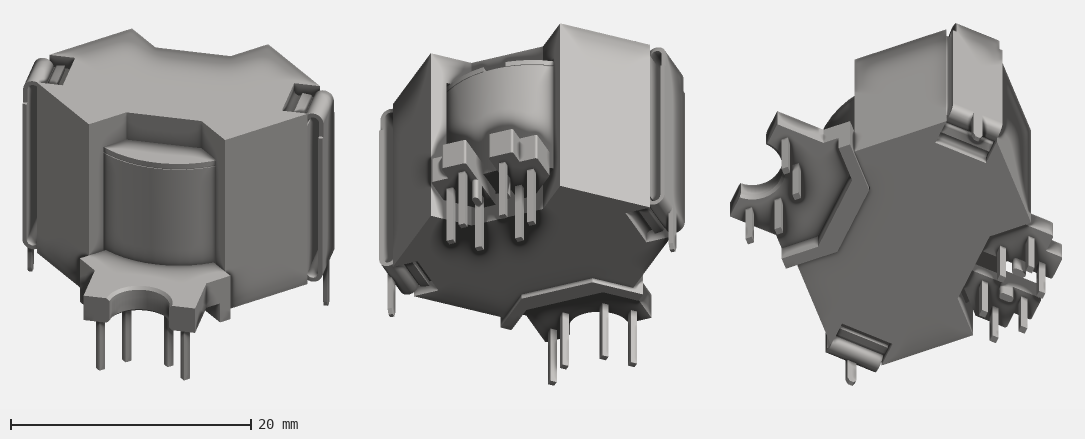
import cadquery as cq
import math

CLIP_DIRECTIONS = (45, 225)
REAR_DIRECTION = 135
FRONT_DIRECTION = 315

core_width = 19.65
core_height = 16.45
corner_reach = 11.56
corner_width = 4.62
notch_side = 1.6
notch_depth = 6.14
plate_thickness = 2.63
cavity_radius = 8.55

recess_reach = 9.35
recess_depth = 1.13
recess_fillet = 0.45

clip_thickness = 0.37
clip_reach = 12.82
hook_radius = 0.85
bend_reach = clip_reach - hook_radius
upper_bend_height = 15.45
lower_bend_height = 1.1
lip_reach = 10.15
lip_radius = 0.27
lip_rise = 0.07
valley_reach = 11.0
valley_thickness = 0.15
clip_width = 4.52
tab_width = 3.93
tab_bottom = 14.17
leg_width = 0.8
leg_tip_width = 0.4
leg_taper_top = -2.68
leg_bottom = -3.17

drum_radius = 8.35
drum_bottom = 2.82
drum_top = 13.65
flange_thickness = 0.45
groove_height = 0.12
groove_depth = 0.07
slot_width = 2.01
slot_reach = 5.45
slot_corner_radius = 0.6

block_bottom = 1.47
block_top = 3.83
block_thickness = block_top - block_bottom
foot_bottom = -0.37
arm_half_width = 4.76
notch_clearance = 0.07
block_side = notch_side + notch_clearance
block_depth = notch_depth + notch_clearance / 2
front_block_edge = 10.75
front_block_reach = 14.68
foot_wall_thickness = 1.0
foot_wall_corner = 7.54
bite_radius = 2.55
bite_reach = 14.8
bite_chamfer = 0.25

rear_shoulder_reach = 10.63
rear_stub_half_width = 3.22
rear_reach = 12.18
rear_fillet = 0.2
rear_side = 2.15
rear_inner_reach = (block_side + block_depth) / math.sqrt(2)

foot_length = 1.23
foot_width = 0.6
foot_reach = 9.03
foot_offset = 1.28

pin_size = 0.56
pin_bottom = -3.8
pin_embed = 0.25
rear_pins = ((-8.9, 6.35), (-8.9, 3.8), (-6.35, 3.8), (-3.8, 6.35), (-3.8, 8.9), (-6.35, 8.9))
front_pins = ((6.9, -9.43), (6.9, -12.0), (9.43, -6.9), (12.0, -6.9))


def turned(shape, direction):
    """Turn a shape built along +X so that it points along a diagonal."""
    return shape.rotate((0, 0, 0), (0, 0, 1), direction)


def upright_box(x_range, y_range, z_range):
    size = [high - low for low, high in (x_range, y_range, z_range)]
    corner = (x_range[0], y_range[0], z_range[0])
    return cq.Workplane("XY").box(*size, centered=False).translate(corner)


def prism(points, bottom, height):
    return cq.Workplane("XY").workplane(offset=bottom).polyline(points).close().extrude(height)


def core_block():
    """Octagon-like core with two notched corners and a round cavity for the drum."""
    half = core_width / 2
    corner = corner_reach * math.sqrt(2) - half
    outline = [
        (-half, -corner), (-corner, -half),
        (notch_side, -half), (notch_side, -notch_depth), (notch_depth, -notch_side), (half, -notch_side),
        (half, corner), (corner, half),
        (-notch_side, half), (-notch_side, notch_depth), (-notch_depth, notch_side), (-half, notch_side),
    ]
    cavity = (
        cq.Workplane("XY").workplane(offset=plate_thickness)
        .circle(cavity_radius).extrude(core_height - 2 * plate_thickness)
    )
    return prism(outline, 0, core_height).cut(cavity)


def clip_recess():
    """Upper recess pointing along +X, with a rounded inner corner."""
    floor = core_height - recess_depth
    return (
        upright_box((recess_reach, clip_reach), (-corner_width / 2, corner_width / 2),
                    (floor, core_height))
        .edges("|Y and <X and <Z").fillet(recess_fillet)
    )


def mirrored_down(shape):
    """Mirror a shape about the mid-height of the core."""
    return shape.mirror("XY", (0, 0, core_height / 2))


def clip_hook(width, bend_height):
    """Upper hook pointing along +X: half-round bend, a narrow valley and a lip on the recess floor."""
    floor = core_height - recess_depth
    valley = floor + valley_thickness
    lip_end = valley_reach - lip_radius
    inner_radius = hook_radius - clip_thickness
    valley_junction = bend_reach - math.sqrt(hook_radius**2 - (valley - bend_height) ** 2)
    rounding = lip_radius / math.sqrt(2)
    return (
        cq.Workplane("XZ")
        .moveTo(lip_reach, floor)
        .lineTo(bend_reach - inner_radius, floor)
        .lineTo(bend_reach - inner_radius, bend_height)
        .threePointArc((bend_reach, bend_height + inner_radius), (bend_reach + inner_radius, bend_height))
        .lineTo(clip_reach, bend_height)
        .threePointArc((bend_reach, bend_height + hook_radius), (valley_junction, valley))
        .lineTo(valley_reach, valley)
        .threePointArc((lip_end + rounding, valley + rounding), (lip_end, valley + lip_radius))
        .lineTo(lip_reach, valley + lip_radius + lip_rise)
        .close()
        .extrude(width / 2, both=True)
    )


def clip_leg():
    """Solder leg pointing along +X, continuing the clip plate downwards to a tapered tip."""
    half = leg_width / 2
    tip = leg_tip_width / 2
    outline = [
        (-half, lower_bend_height), (-half, leg_taper_top), (-tip, leg_bottom),
        (tip, leg_bottom), (half, leg_taper_top), (half, lower_bend_height),
    ]
    return (
        cq.Workplane("YZ").workplane(offset=clip_reach - clip_thickness)
        .polyline(outline).close().extrude(clip_thickness)
    )


def clip():
    """Whole spring clip pointing along +X."""
    plate_x = (clip_reach - clip_thickness, clip_reach)
    plate = upright_box(plate_x, (-clip_width / 2, clip_width / 2), (lower_bend_height, tab_bottom))
    tab = upright_box(plate_x, (-tab_width / 2, tab_width / 2), (tab_bottom, upper_bend_height))
    upper_hook = clip_hook(tab_width, upper_bend_height)
    lower_hook = mirrored_down(clip_hook(clip_width, core_height - lower_bend_height))
    return plate.union(tab).union(upper_hook).union(lower_hook).union(clip_leg())


def clipped_core():
    """Core with a clip hooked into the upper and lower recesses of two opposite corners."""
    body = core_block()
    for direction in CLIP_DIRECTIONS:
        body = body.cut(turned(clip_recess(), direction))
        body = body.cut(turned(mirrored_down(clip_recess()), direction))
    for direction in CLIP_DIRECTIONS:
        body = body.union(turned(clip(), direction))
    return body


def drum():
    """Wound drum with a groove under its top flange and a wire slot through that flange."""
    flange_bottom = drum_top - flange_thickness
    groove = (
        cq.Workplane("XY").workplane(offset=flange_bottom - groove_height)
        .circle(drum_radius).circle(drum_radius - groove_depth).extrude(groove_height)
    )
    slot = (
        upright_box((slot_reach, cavity_radius), (-slot_width / 2, slot_width / 2), (flange_bottom, drum_top))
        .edges("|Z and <X").fillet(slot_corner_radius)
    )
    height = drum_top - drum_bottom
    body = cq.Workplane("XY").workplane(offset=drum_bottom).circle(drum_radius).extrude(height)
    return body.cut(groove).cut(turned(slot, REAR_DIRECTION))


def mirrored_across_diagonal(points):
    """Append the mirror image of half an outline about the diagonal y = -x."""
    return points + [(-y, -x) for x, y in reversed(points)]


def front_block():
    """Front terminal block with a round bite in its end and a V-shaped foot wall below."""
    arm = arm_half_width * math.sqrt(2)
    end = front_block_reach * math.sqrt(2)
    block = prism(mirrored_across_diagonal([
        (block_side, -block_depth),
        (block_side, -front_block_edge),
        (front_block_edge - arm, -front_block_edge),
        ((end - arm) / 2, -(end + arm) / 2),
    ]), block_bottom, block_thickness)
    wall_inner = block_side + foot_wall_thickness
    foot_wall = prism(mirrored_across_diagonal([
        (block_side, -block_depth),
        (block_side, -front_block_edge),
        (wall_inner, -front_block_edge),
        (wall_inner, -foot_wall_corner),
    ]), foot_bottom, block_bottom - foot_bottom)
    bite = cq.Workplane("XY").workplane(offset=block_bottom).circle(bite_radius).extrude(block_thickness)
    for height, inward in ((block_bottom, 1), (block_top, -1)):
        flare = cq.Solid.makeCone(
            bite_radius + bite_chamfer, bite_radius, bite_chamfer,
            cq.Vector(0, 0, height), cq.Vector(0, 0, inward),
        )
        bite = bite.union(cq.Workplane(flare))
    return block.cut(turned(bite.translate((bite_reach, 0, 0)), FRONT_DIRECTION)).union(foot_wall)


def rear_block():
    """Half of the rear terminal block beside the wire slot, with a shoulder and a foot; points along +X."""
    slot_side = slot_width / 2
    block = prism([
        (rear_inner_reach, slot_side),
        (rear_reach, slot_side),
        (rear_reach, rear_stub_half_width),
        (rear_shoulder_reach, rear_stub_half_width),
        (rear_shoulder_reach, arm_half_width),
        (rear_inner_reach, arm_half_width),
    ], block_bottom, block_thickness)
    corners = ((rear_reach, slot_side), (rear_reach, rear_stub_half_width),
               (rear_shoulder_reach, arm_half_width))
    for x, y in corners:
        corner = cq.selectors.NearestToPointSelector((x, y, block_bottom + block_thickness / 2))
        block = block.edges(corner).fillet(rear_fillet)
    foot = (
        cq.Workplane("XY").workplane(offset=foot_bottom).center(foot_reach, foot_offset)
        .slot2D(foot_length, foot_width).extrude(block_bottom - foot_bottom)
    )
    return block.union(foot)


def rear_blocks():
    """Both rear halves, trimmed flat along X and Y next to the core."""
    half = rear_block()
    pair = turned(half.union(half.mirror("XZ")), REAR_DIRECTION)
    quadrant = upright_box((-core_width, -rear_side), (rear_side, core_width), (foot_bottom, block_top))
    return pair.intersect(quadrant)


def pin(position, direction):
    """Square terminal pin, turned about its own axis."""
    length = block_bottom + pin_embed - pin_bottom
    bar = cq.Workplane("XY").rect(pin_size, pin_size).extrude(length)
    return turned(bar, direction).translate((*position, pin_bottom))


def bobbin():
    """Drum with its terminal blocks and pins as one solid."""
    body = drum().union(front_block()).union(rear_blocks())
    for position in rear_pins:
        body = body.union(pin(position, REAR_DIRECTION))
    for position in front_pins:
        body = body.union(pin(position, 0))
    return body


result = cq.Compound.makeCompound([clipped_core().val(), bobbin().val()])